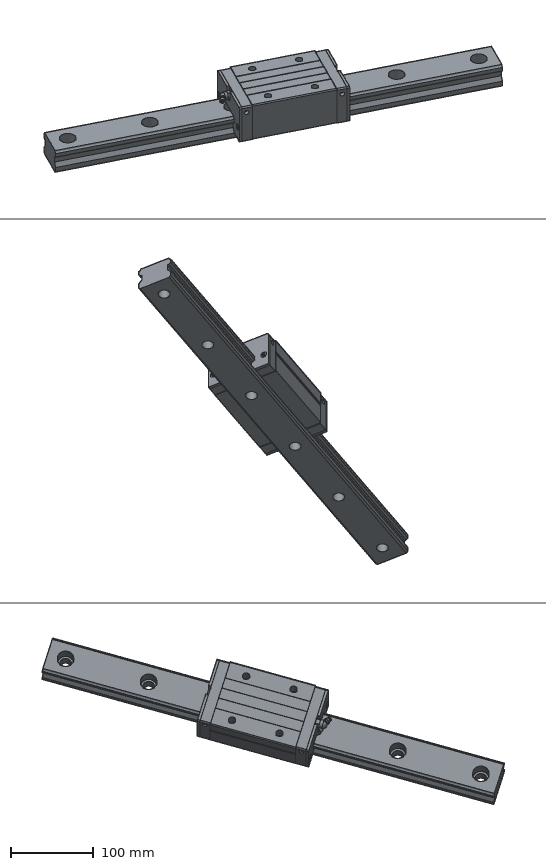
import cadquery as cq
import math

RAIL_LENGTH = 570.0
RAIL_HALF_WIDTH = 22.5
RAIL_HEIGHT = 32.0
RAIL_BASE_CHAMFER = 2.0
RAIL_TOP_HALF_WIDTH = 20.0
FOOT_TOP = 8.5
WAIST_HALF_WIDTH = 17.95
WAIST_BOTTOM = 13.5
WAIST_TOP = 20.5
HEAD_BOTTOM = 24.0
HEAD_TOP = 29.0
LOWER_RACE_START = (20.0, 21.5)
LOWER_RACE_SAG = 0.3
UPPER_RACE_RADIUS = 2.0
RAIL_HOLE_COUNT = 6
RAIL_HOLE_PITCH = 105.0
RAIL_HOLE_DIAMETER = 14.0
RAIL_BORE_DIAMETER = 20.0
RAIL_BORE_DEPTH = 17.0

CARRIAGE_Y = 13.0
BLOCK_LENGTH = 108.0
BLOCK_HALF_WIDTH = 43.05
BLOCK_TOP = 60.0
BLOCK_BOTTOM = 9.5
BLOCK_CHAMFER = 1.4
RELIEF_DEPTH = 0.3
SIDE_GROOVE_DEPTH = 1.0
SIDE_GROOVE_BOTTOM = 39.0
SIDE_GROOVE_TOP = 40.5
TOP_GROOVE_INNER = 7.0
TOP_GROOVE_OUTER = 20.5
TOP_GROOVE_DEPTH = 0.5
MOUNT_PITCH = 60.0
MOUNT_DIAMETER = 8.5
MOUNT_DEPTH = 17.0
DRILL_POINT_ANGLE = 118.0

CAP_LENGTH = 13.0
SEAL_LENGTH = 3.5
END_HALF_WIDTH = 42.0
END_TOP = 58.5
END_BOTTOM = 8.5
END_CHAMFER = 1.5
PORT_DIAMETER = 5.5
PORT_DEPTH = 5.5
PORT_OFFSET = 61.0
PORT_Z = 50.0
SLOT_WIDTH = 12.0
SLOT_CENTRE_Z = 49.0
SCREW_X = 35.5
SCREW_Z = 26.0
SCREW_DIAMETER = 8.0
SCREW_HEIGHT = 1.0
SOCKET_DIAMETER = 3.3
SOCKET_DEPTH = 1.5

NIPPLE_Z = 49.5
HEX_CORNER_DIAMETER = 11.5
HEX_LENGTH = 5.0
COLLAR_DIAMETER = 10.0
COLLAR_LENGTH = 4.0
BALL_DIAMETER = 9.5
SPOUT_ANGLE = 30.0
SPOUT_DIAMETER = 5.5
SPOUT_LENGTH = 11.5
SPOUT_RING_DIAMETER = 7.5
SPOUT_RING_START = 4.5
SPOUT_RING_END = 7.0
SPOUT_HOLE_DIAMETER = 3.3
SPOUT_HOLE_DEPTH = 1.5

CAP_FACE = BLOCK_LENGTH / 2 + CAP_LENGTH
SEAL_FACE = CAP_FACE + SEAL_LENGTH


def section_plane(y):
    """XZ plane at the given Y; positive extrusion runs towards -Y."""
    return cq.Workplane("XZ", origin=(0, y, 0))


def rail_prism(y_end, length):
    """Solid with the rail's cross-section, from y_end towards -Y."""
    race_ledge = RAIL_TOP_HALF_WIDTH + UPPER_RACE_RADIUS
    race_top = HEAD_TOP + UPPER_RACE_RADIUS
    race_inset = UPPER_RACE_RADIUS * (1 - math.sqrt(0.5))
    half = (
        section_plane(y_end)
        .moveTo(0, 0)
        .lineTo(RAIL_HALF_WIDTH - RAIL_BASE_CHAMFER, 0)
        .lineTo(RAIL_HALF_WIDTH, RAIL_BASE_CHAMFER)
        .lineTo(RAIL_HALF_WIDTH, FOOT_TOP)
        .lineTo(WAIST_HALF_WIDTH, WAIST_BOTTOM)
        .lineTo(WAIST_HALF_WIDTH, WAIST_TOP)
        .sagittaArc(LOWER_RACE_START, LOWER_RACE_SAG)
        .lineTo(RAIL_HALF_WIDTH, HEAD_BOTTOM)
        .lineTo(RAIL_HALF_WIDTH, HEAD_TOP)
        .lineTo(race_ledge, HEAD_TOP)
        .threePointArc(
            (RAIL_TOP_HALF_WIDTH + race_inset, HEAD_TOP + race_inset),
            (RAIL_TOP_HALF_WIDTH, race_top),
        )
        .lineTo(RAIL_TOP_HALF_WIDTH, RAIL_HEIGHT)
        .lineTo(0, RAIL_HEIGHT)
    )
    return half.mirrorY().extrude(length).clean()


def make_rail():
    """Rail with counterbored mounting holes."""
    first_hole = -RAIL_HOLE_PITCH * (RAIL_HOLE_COUNT - 1) / 2
    hole_places = [(0, first_hole + i * RAIL_HOLE_PITCH) for i in range(RAIL_HOLE_COUNT)]
    return (
        rail_prism(RAIL_LENGTH / 2, RAIL_LENGTH)
        .copyWorkplane(cq.Workplane("XY", origin=(0, 0, RAIL_HEIGHT)))
        .pushPoints(hole_places)
        .cboreHole(RAIL_HOLE_DIAMETER, RAIL_BORE_DIAMETER, RAIL_BORE_DEPTH)
    )


def cut_top_grooves(block):
    """Two shallow grooves along the top face."""
    width = TOP_GROOVE_OUTER - TOP_GROOVE_INNER
    centre = (TOP_GROOVE_OUTER + TOP_GROOVE_INNER) / 2
    grooves = (
        cq.Workplane("XY", origin=(0, CARRIAGE_Y, BLOCK_TOP))
        .pushPoints([(-centre, 0), (centre, 0)])
        .rect(width, BLOCK_LENGTH)
        .extrude(-TOP_GROOVE_DEPTH)
    )
    return block.cut(grooves)


def cut_mounting_holes(block):
    """Four blind holes with drill points in the top face."""
    radius = MOUNT_DIAMETER / 2
    point_depth = radius / math.tan(math.radians(DRILL_POINT_ANGLE / 2))
    drill = (
        cq.Workplane("XZ")
        .polyline([(0, 0), (radius, 0), (radius, -MOUNT_DEPTH), (0, -MOUNT_DEPTH - point_depth)])
        .close()
        .revolve(360, (0, 0), (0, 1))
    )
    for x in (-MOUNT_PITCH / 2, MOUNT_PITCH / 2):
        for y in (CARRIAGE_Y - MOUNT_PITCH / 2, CARRIAGE_Y + MOUNT_PITCH / 2):
            block = block.cut(drill.translate((x, y, BLOCK_TOP)))
    return block


def make_block():
    """Block straddling the rail, with a grooved and relieved -X side."""
    relieved = BLOCK_HALF_WIDTH - RELIEF_DEPTH
    groove_floor = BLOCK_HALF_WIDTH - SIDE_GROOVE_DEPTH
    y_end = CARRIAGE_Y + BLOCK_LENGTH / 2
    block = (
        section_plane(y_end)
        .polyline([
            (-relieved, BLOCK_BOTTOM),
            (BLOCK_HALF_WIDTH, BLOCK_BOTTOM),
            (BLOCK_HALF_WIDTH, BLOCK_TOP - BLOCK_CHAMFER),
            (BLOCK_HALF_WIDTH - BLOCK_CHAMFER, BLOCK_TOP),
            (-BLOCK_HALF_WIDTH + BLOCK_CHAMFER, BLOCK_TOP),
            (-BLOCK_HALF_WIDTH, BLOCK_TOP - BLOCK_CHAMFER),
            (-BLOCK_HALF_WIDTH, SIDE_GROOVE_TOP),
            (-groove_floor, SIDE_GROOVE_TOP),
            (-groove_floor, SIDE_GROOVE_BOTTOM),
            (-relieved, SIDE_GROOVE_BOTTOM),
        ])
        .close()
        .extrude(BLOCK_LENGTH)
    )
    block = block.cut(rail_prism(y_end, BLOCK_LENGTH))
    return cut_mounting_holes(cut_top_grooves(block))


def end_plate(y_end, length):
    """Plate with the outline shared by caps and seals, open for the rail."""
    plate = (
        section_plane(y_end)
        .polyline([
            (-END_HALF_WIDTH, END_BOTTOM),
            (END_HALF_WIDTH, END_BOTTOM),
            (END_HALF_WIDTH, END_TOP - END_CHAMFER),
            (END_HALF_WIDTH - END_CHAMFER, END_TOP),
            (-END_HALF_WIDTH + END_CHAMFER, END_TOP),
            (-END_HALF_WIDTH, END_TOP - END_CHAMFER),
        ])
        .close()
        .extrude(length)
    )
    return plate.cut(rail_prism(y_end, length))


def make_cap():
    """Cap of the -Y end, with an oil port in each side."""
    cap = end_plate(CARRIAGE_Y - BLOCK_LENGTH / 2, CAP_LENGTH)
    for side in (-1, 1):
        port = (
            cq.Workplane("YZ", origin=(side * END_HALF_WIDTH, CARRIAGE_Y - PORT_OFFSET, PORT_Z))
            .circle(PORT_DIAMETER / 2)
            .extrude(-side * PORT_DEPTH)
        )
        cap = cap.cut(port)
    return cap


def screw_head():
    """Spherical dome standing on the XZ plane towards -Y."""
    radius = SCREW_DIAMETER / 2
    sphere_radius = (radius**2 + SCREW_HEIGHT**2) / (2 * SCREW_HEIGHT)
    half_angle = math.asin(radius / sphere_radius) / 2
    arc_middle = (
        sphere_radius * math.sin(half_angle),
        sphere_radius * (1 - math.cos(half_angle)) - SCREW_HEIGHT,
    )
    return (
        cq.Workplane("XY")
        .lineTo(radius, 0)
        .threePointArc(arc_middle, (0, -SCREW_HEIGHT))
        .close()
        .revolve(360, (0, 0), (0, 1))
    )


def make_seal():
    """Seal plate of the -Y end, with a nipple slot and two screw heads."""
    inner_face = CARRIAGE_Y - CAP_FACE
    outer_face = CARRIAGE_Y - SEAL_FACE
    slot_height = END_TOP - SLOT_CENTRE_Z
    slot = (
        section_plane(inner_face)
        .center(0, SLOT_CENTRE_Z)
        .moveTo(-SLOT_WIDTH / 2, slot_height)
        .lineTo(-SLOT_WIDTH / 2, 0)
        .threePointArc((0, -SLOT_WIDTH / 2), (SLOT_WIDTH / 2, 0))
        .lineTo(SLOT_WIDTH / 2, slot_height)
        .close()
        .extrude(SEAL_LENGTH)
    )
    seal = end_plate(inner_face, SEAL_LENGTH).cut(slot)
    for x in (-SCREW_X, SCREW_X):
        seal = seal.union(screw_head().translate((x, outer_face, SCREW_Z)))
    sockets = (
        section_plane(outer_face - SCREW_HEIGHT)
        .pushPoints([(-SCREW_X, SCREW_Z), (SCREW_X, SCREW_Z)])
        .circle(SOCKET_DIAMETER / 2)
        .extrude(-SOCKET_DEPTH)
    )
    return seal.cut(sockets)


def make_nipple():
    """Grease nipple seated on the -Y cap face, passing through the seal slot."""
    cap_face = CARRIAGE_Y - CAP_FACE
    collar_face = cap_face - HEX_LENGTH - COLLAR_LENGTH
    centre = cq.Vector(0, collar_face, NIPPLE_Z)
    angle = math.radians(SPOUT_ANGLE)
    direction = cq.Vector(math.cos(angle), -math.sin(angle), 0)

    def spout_cylinder(diameter, start, end):
        base = centre + direction * start
        return cq.Workplane(cq.Solid.makeCylinder(diameter / 2, end - start, base, direction))

    hexagon = (
        section_plane(cap_face)
        .center(0, NIPPLE_Z)
        .polygon(6, HEX_CORNER_DIAMETER)
        .extrude(HEX_LENGTH)
    )
    collar = (
        section_plane(collar_face)
        .center(0, NIPPLE_Z)
        .circle(COLLAR_DIAMETER / 2)
        .extrude(-COLLAR_LENGTH)
    )
    ball = cq.Workplane("XY").sphere(BALL_DIAMETER / 2).translate(centre.toTuple())
    spout = spout_cylinder(SPOUT_DIAMETER, 0, SPOUT_LENGTH)
    ring = spout_cylinder(SPOUT_RING_DIAMETER, SPOUT_RING_START, SPOUT_RING_END)
    hole = spout_cylinder(SPOUT_HOLE_DIAMETER, SPOUT_LENGTH - SPOUT_HOLE_DEPTH, SPOUT_LENGTH)
    return hexagon.union(collar).union(ball).union(spout).union(ring).cut(hole)


def both_ends(body):
    """The -Y end body and its mirror image at the +Y end."""
    return [body, body.mirror("XZ", (0, CARRIAGE_Y, 0))]


rail = make_rail()
block = make_block()
caps = both_ends(make_cap())
seals = both_ends(make_seal())
nipple = make_nipple()

result = cq.Compound.makeCompound([
    rail.val(),
    block.val(),
    *[cap.val() for cap in caps],
    *[seal.val() for seal in seals],
    nipple.val(),
])